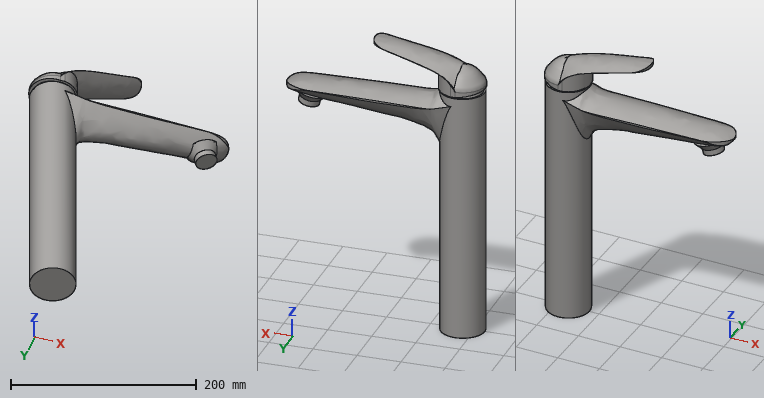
import cadquery as cq


body_radius = 25.0
body_top = 285.8
neck_radius = 23.0
neck_top_radius = 21.0
neck_top = 294.0

cap_radius = 51.8 / 2
cap_bottom = 287.8
cap_back_bottom = 291.5
dome_base = 294.0
dome_top = 316.0
dome_shoulders = [(23.0, 300.5), (14.0, 310.2), (5.7, 314.5)]
stem_radius = 26.5
stem_section_count = 3

outline_start = -3.5
spout_outline_half_width = 25.7
spout_nose_start = 163.8
spout_nose_half_width = 22.0
spout_tip = 199.2
lever_outline_half_width = 26.0
lever_nose_start = 78.5
lever_nose_half_width = 18.0
lever_tip = 99.5
outline_height = 401.0

aerator_x = 174.8
aerator_z = 245.0
aerator_tilt = -14.7
aerator_radius = 23.7 / 2
aerator_length = 6.7
aerator_flare_radius = 18.7
aerator_flare_length = 8.7

spout_sections = [
    (0.0, 284.8, 279.0, 209.0, 24.5),
    (13.5, 284.8, 273.5, 213.3, 24.7),
    (26.0, 283.0, 269.7, 222.3, 25.0),
    (33.0, 278.0, 268.7, 232.5, 25.0),
    (41.8, 276.8, 268.5, 236.5, 25.0),
    (54.8, 276.0, 268.5, 240.5, 25.0),
    (82.0, 275.8, 268.5, 244.5, 24.7),
    (115.3, 275.5, 268.5, 248.0, 24.0),
    (153.8, 274.0, 268.5, 252.0, 22.7),
    (186.0, 272.5, 268.0, 257.5, 21.5),
    (spout_tip, 267.7, 267.0, 266.0, 20.7),
]
lever_sections = [
    (0.0, dome_top, dome_base, 288.0, cap_radius),
    (10.0, 319.0, 306.0, 300.0, 24.5),
    (26.7, 323.0, 314.2, 309.0, 23.0),
    (58.0, 329.2, 322.2, 318.2, 20.5),
    (85.2, 333.3, 328.5, 325.5, 17.7),
    (lever_tip, 334.3, 332.5, 330.2, 16.0),
]


def section_wire(x, top, seam, underside, half_width):
    """Closed section across X with a curved top and underside meeting at side seams."""
    right = cq.Vector(x, half_width, seam)
    left = cq.Vector(x, -half_width, seam)
    upper = cq.Edge.makeSpline([right, cq.Vector(x, 0, top), left])
    lower = cq.Edge.makeSpline([left, cq.Vector(x, 0, underside), right])
    return cq.Wire.assembleEdges([upper, lower])


def loft_sections(sections):
    wires = [section_wire(*section) for section in sections]
    return cq.Workplane(cq.Solid.makeLoft(wires))


def rounded_outline(half_width, nose_start, nose_half_width, tip):
    """Upright prism with straight sides from behind the body axis and a rounded nose at the tip."""
    return (
        cq.Workplane("XY")
        .moveTo(outline_start, -half_width)
        .lineTo(nose_start, -nose_half_width)
        .spline(
            [(tip, 0), (nose_start, nose_half_width)],
            tangents=[(1, 0), (0, 1), (-1, 0)],
            includeCurrent=True,
        )
        .lineTo(outline_start, half_width)
        .close()
        .extrude(outline_height)
    )


def make_neck():
    return (
        cq.Workplane("XZ")
        .moveTo(0, body_top)
        .lineTo(neck_radius, body_top)
        .lineTo(neck_top_radius, neck_top)
        .lineTo(0, neck_top)
        .close()
        .revolve(360, (0, 0), (0, 1))
    )


def make_spout():
    outline = rounded_outline(spout_outline_half_width, spout_nose_start, spout_nose_half_width, spout_tip)
    return loft_sections(spout_sections).intersect(outline)


def make_aerator():
    flare_top = aerator_length + aerator_flare_length
    aerator = (
        cq.Workplane("XZ")
        .lineTo(aerator_radius, 0)
        .lineTo(aerator_radius, aerator_length)
        .lineTo(aerator_flare_radius, flare_top)
        .lineTo(0, flare_top)
        .close()
        .revolve(360, (0, 0), (0, 1))
    )
    return aerator.rotate((0, 0, 0), (0, 1, 0), aerator_tilt).translate((aerator_x, 0, aerator_z))


def make_cap():
    """Domed cap with its lower rim rising toward the back."""
    dome = (
        cq.Workplane("XZ")
        .moveTo(0, cap_bottom)
        .lineTo(cap_radius, cap_bottom)
        .lineTo(cap_radius, dome_base)
        .spline([*dome_shoulders, (0, dome_top)], tangents=[(0, 1), (-1, 0)], includeCurrent=True)
        .close()
        .revolve(360, (0, 0), (0, 1))
    )
    rim_cut = (
        cq.Workplane("XZ")
        .moveTo(0, cap_bottom)
        .lineTo(-cap_radius, cap_back_bottom)
        .lineTo(-cap_radius, cap_bottom)
        .close()
        .extrude(cap_radius, both=True)
    )
    return dome.cut(rim_cut)


def make_stem():
    """Front half of the cap, rising as a column to the side seam of the lever."""
    column = cq.Workplane("XY", origin=(0, 0, cap_bottom)).circle(stem_radius).extrude(outline_height)
    seam_points = [(x, seam) for x, _, seam, _, _ in lever_sections[:stem_section_count]]
    side = (
        cq.Workplane("XZ")
        .moveTo(0, cap_bottom)
        .lineTo(*seam_points[0])
        .spline(seam_points[1:], includeCurrent=True)
        .lineTo(seam_points[-1][0], cap_bottom)
        .close()
        .extrude(cap_radius, both=True)
    )
    return side.intersect(column)


def make_lever():
    outline = rounded_outline(lever_outline_half_width, lever_nose_start, lever_nose_half_width, lever_tip)
    return loft_sections(lever_sections).intersect(outline)


body = cq.Workplane("XY").circle(body_radius).extrude(body_top)
cap = make_cap().union(make_stem()).union(make_lever()).union(make_neck())
spout = make_spout().union(make_aerator())
result = body.union(spout).union(cap)